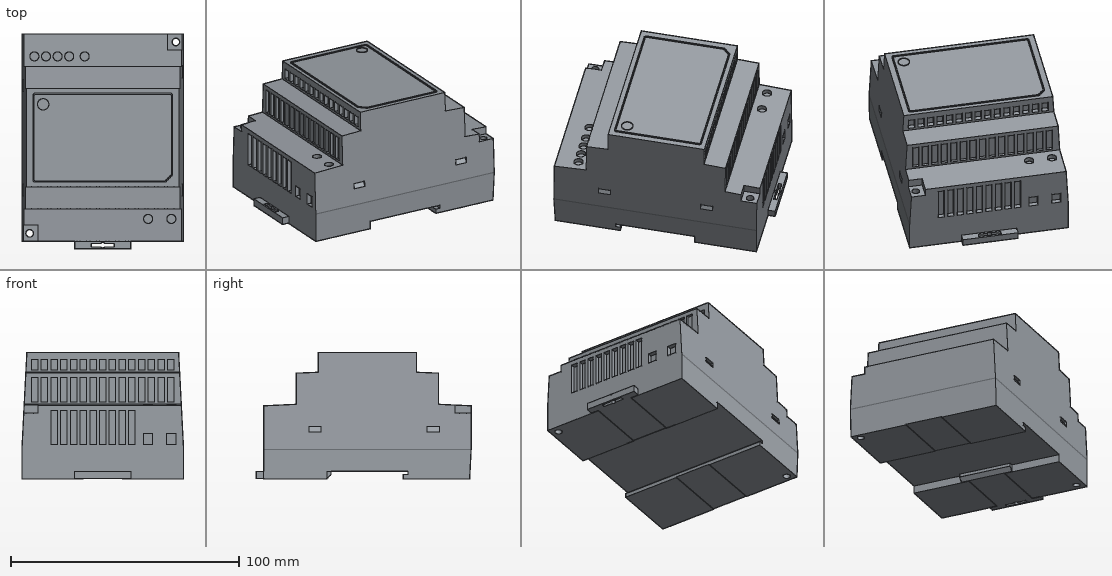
import cadquery as cq
import math

body_width = 71.0
body_length = 91.1
height = 55.6
cover_width = 66.7
seam_z = 13.1
half_width = body_width / 2
half_length = body_length / 2
side_lean = (body_width - cover_width) / 2 / (height - seam_z)

top_half_length = 21.6
middle_half_length = 31.2
middle_inner_z = 47.0
middle_outer_z = 46.6
lower_inner_z = 32.9
lower_outer_z = 32.25
back_foot_inset = 0.7

rail_half_length = 17.7
rail_depth = 3.5
hook_reach = 2.1
hook_z = 2.1

clip_width = 24.7
clip_bottom_z = 0.3
tab_length = 3.2
tooth_reach = 1.8
tooth_slope_z = 2.1
clip_channel_width = 17.35
clip_slot_length = 10.0
clip_slot_width = 1.4
clip_hole_diameter = 2.4

vent_columns = 15
vent_row_span = 59.7
vent_pitch = vent_row_span / (vent_columns - 1)
vent_width = 2.8
vent_depth = 2.0
middle_vent_depth = 1.1
top_vent_z = (48.0, 52.5)
middle_vent_z = (33.9, 44.6)
lower_vent_z = (15.2, 30.1)
lower_vent_first = 2
lower_vent_last = 10

terminal_diameter = 4.0
terminal_y = 35.6
terminal_depth = 1.5
front_terminals_x = (19.9, 30.1)
back_row_x = -30.0
back_row_pitch = 5.1
back_row_count = 4
back_single_x = -7.9
wire_window_width = 4.1
wire_window_z = (15.2, 20.1)
wire_window_depth = 2.0

corner_inner_x = 28.5
corner_length = 7.2
corner_floor_z = 28.95
corner_hole_diameter = 3.2
corner_hole_x = 32.1
corner_hole_inset = 3.6

label_length_x = 61.3
label_length_y = 39.0
label_corner = 0.7
label_cut_corner = 3.1
label_groove_width = 0.6
label_groove_depth = 0.3
lamp_diameter = 5.0
lamp_x = -26.1
lamp_y = 14.6
lamp_depth = 0.3

catch_length = 5.4
catch_z = (20.65, 23.1)
catch_slope = 30.0
left_catches_y = (22.9, -23.0)
right_catches_y = (28.9, -23.0)


def box(x_range, y_range, z_range):
    """Axis-aligned box between the given (low, high) limits."""
    (x0, x1), (y0, y1), (z0, z1) = x_range, y_range, z_range
    return cq.Workplane("XY").box(x1 - x0, y1 - y0, z1 - z0, centered=False).translate((x0, y0, z0))


def upright_cylinder(diameter, x, y, z_range):
    low, high = z_range
    return cq.Workplane("XY", origin=(x, y, low)).circle(diameter / 2).extrude(high - low)


def side_x(z):
    """Half width of the leaning side walls at height z."""
    return half_width - side_lean * max(0, z - seam_z)


def make_body():
    stairs = (
        cq.Workplane("YZ")
        .moveTo(-half_length, 0)
        .lineTo(-half_length, lower_outer_z)
        .lineTo(-middle_half_length, lower_inner_z)
        .lineTo(-middle_half_length, middle_outer_z)
        .lineTo(-top_half_length, middle_inner_z)
        .lineTo(-top_half_length, height)
        .lineTo(top_half_length, height)
        .lineTo(top_half_length, middle_inner_z)
        .lineTo(middle_half_length, middle_outer_z)
        .lineTo(middle_half_length, lower_inner_z)
        .lineTo(half_length, lower_outer_z)
        .lineTo(half_length, seam_z)
        .lineTo(half_length - back_foot_inset, 0)
        .lineTo(rail_half_length - hook_reach, 0)
        .lineTo(rail_half_length - hook_reach, hook_z)
        .lineTo(rail_half_length, hook_z)
        .lineTo(rail_half_length, rail_depth)
        .lineTo(-rail_half_length, rail_depth)
        .lineTo(-rail_half_length, 0)
        .close()
        .extrude(half_width, both=True)
    )
    tapered_sides = (
        cq.Workplane("XZ")
        .moveTo(-half_width, 0)
        .lineTo(-half_width, seam_z)
        .lineTo(-cover_width / 2, height)
        .lineTo(cover_width / 2, height)
        .lineTo(half_width, seam_z)
        .lineTo(half_width, 0)
        .close()
        .extrude(half_length, both=True)
    )
    return stairs.intersect(tapered_sides)


def make_clip_channel():
    """Shallow relief along the underside below the clip."""
    half = clip_channel_width / 2
    return box((-half, half), (-half_length, half_length), (0, clip_bottom_z))


def make_clip():
    """Pull tab in front of the housing and sprung tooth in the rail groove."""
    front_y = -half_length - tab_length
    tooth_root_y = -rail_half_length
    clip = (
        cq.Workplane("YZ")
        .moveTo(front_y, clip_bottom_z)
        .lineTo(tooth_root_y, clip_bottom_z)
        .lineTo(tooth_root_y + tooth_reach, tooth_slope_z)
        .lineTo(tooth_root_y + tooth_reach, rail_depth)
        .lineTo(front_y, rail_depth)
        .close()
        .extrude(clip_width / 2, both=True)
    )
    slot_y = -half_length - tab_length / 2
    slot = (
        cq.Workplane("XY", origin=(0, slot_y, 0))
        .rect(clip_slot_length, clip_slot_width)
        .extrude(rail_depth)
    )
    hole = upright_cylinder(clip_hole_diameter, 0, slot_y, (0, rail_depth))
    return clip.cut(slot).cut(hole)


def front_recess(x, width, depth, wall_y, z_range):
    """Rectangular pocket sunk into a wall that faces -Y."""
    return box((x - width / 2, x + width / 2), (wall_y, wall_y + depth), z_range)


def vent_row(first, last, depth, wall_y, z_range):
    slots = cq.Workplane("XY")
    for column in range(first, last + 1):
        x = column * vent_pitch - vent_row_span / 2
        slots = slots.add(front_recess(x, vent_width, depth, wall_y, z_range))
    return slots.combine()


def terminal_hole(x, y):
    return upright_cylinder(terminal_diameter, x, y, (lower_outer_z - terminal_depth, lower_inner_z))


def corner_cut():
    """Open pocket with a through hole at the -X, -Y corner."""
    pocket = box(
        (-half_width, -corner_inner_x),
        (-half_length, -half_length + corner_length),
        (corner_floor_z, lower_inner_z),
    )
    hole_y = -half_length + corner_hole_inset
    hole = upright_cylinder(corner_hole_diameter, -corner_hole_x, hole_y, (0, lower_inner_z))
    return pocket.union(hole)


def label_outline(inset):
    """Rectangle with small corner chamfers and a large one at the +X, -Y corner."""
    x = label_length_x / 2 - inset
    y = label_length_y / 2 - inset
    shortening = inset * (2 - math.sqrt(2))
    floor = cq.Workplane("XY", origin=(0, 0, height - label_groove_depth))
    plate = floor.rect(2 * x, 2 * y).extrude(label_groove_depth)
    plate = plate.edges("|Z and (<X or >Y)").chamfer(label_corner - shortening)
    return plate.edges("|Z").edges(">X").edges("<Y").chamfer(label_cut_corner - shortening)


def side_catch(y):
    """Wedge pocket in the -X wall, deepest at its top."""
    low, high = catch_z
    depth = (high - low) * math.tan(math.radians(catch_slope))
    return (
        cq.Workplane("XZ", origin=(0, y + catch_length / 2, 0))
        .moveTo(-side_x(low), low)
        .lineTo(-side_x(low) + depth, high)
        .lineTo(-half_width, high)
        .lineTo(-half_width, low)
        .close()
        .extrude(catch_length)
    )


result = make_body().cut(make_clip_channel()).union(make_clip())

result = result.cut(vent_row(0, vent_columns - 1, vent_depth, -top_half_length, top_vent_z))
result = result.cut(vent_row(0, vent_columns - 1, middle_vent_depth, -middle_half_length, middle_vent_z))
result = result.cut(
    vent_row(lower_vent_first, lower_vent_last, vent_depth, -half_length, lower_vent_z)
)

for terminal_x in front_terminals_x:
    result = result.cut(terminal_hole(terminal_x, -terminal_y))
    window = front_recess(terminal_x, wire_window_width, wire_window_depth, -half_length, wire_window_z)
    result = result.cut(window)
back_terminals_x = [back_row_x + i * back_row_pitch for i in range(back_row_count)] + [back_single_x]
for terminal_x in back_terminals_x:
    result = result.cut(terminal_hole(terminal_x, terminal_y))

for turn in (0, 180):
    result = result.cut(corner_cut().rotate((0, 0, 0), (0, 0, 1), turn))

result = result.cut(label_outline(0).cut(label_outline(label_groove_width)))
result = result.cut(upright_cylinder(lamp_diameter, lamp_x, lamp_y, (height - lamp_depth, height)))

for catch_y in left_catches_y:
    result = result.cut(side_catch(catch_y))
for catch_y in right_catches_y:
    result = result.cut(side_catch(catch_y).mirror("YZ"))